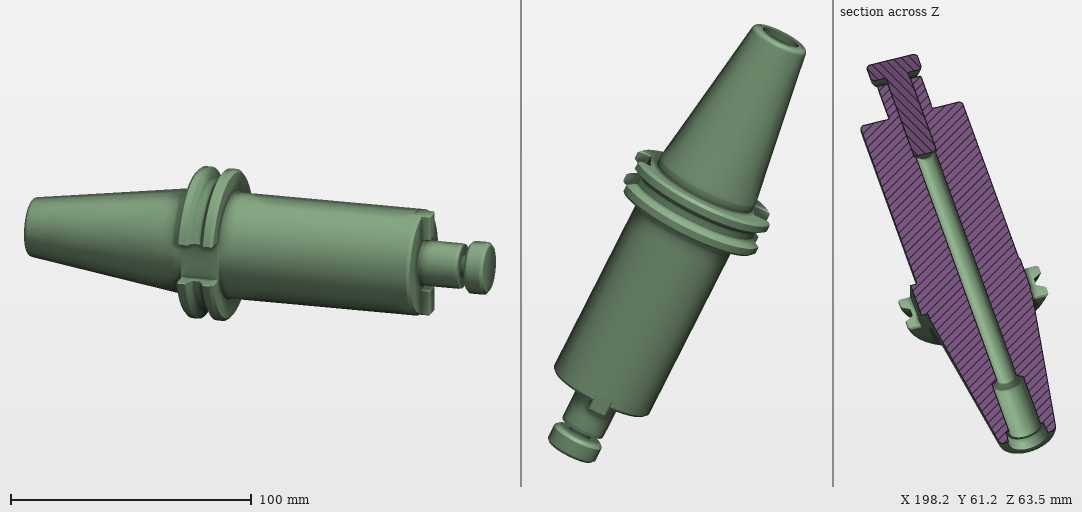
import cadquery as cq
import math

TOTAL_LENGTH = 198.2

TAPER_DIAMETER = 44.5
TAPER_LENGTH = 68.2
TAPER_RATE = 7 / 24
SMALL_DIAMETER = TAPER_DIAMETER - TAPER_RATE * TAPER_LENGTH
END_ROUND = 2.0

FLANGE_START = 71.4
FLANGE_WIDTH = 15.9
FLANGE_END = FLANGE_START + FLANGE_WIDTH
FLANGE_DIAMETER = 63.5
FLANGE_CHAMFER = 1.2
GROOVE_CENTER = 79.3
GROOVE_DIAMETER = 56.0
GROOVE_FLOOR_WIDTH = 3.4
GROOVE_FILLET = 0.4
GROOVE_FLANK_ANGLE = math.radians(30)
SLOT_WIDTH = 16.3
SLOT_CHAMFER = 0.5
SLOT_FLOOR_FRONT = 22.6
SLOT_FLOOR_BACK = 25.0

BARREL_DIAMETER = 44.5
BARREL_END = 169.9
BARREL_CHAMFER = 1.2
BARREL_ROOT_FILLET = 0.5
PILOT_DIAMETER = 19.0
PILOT_END = 187.0
PILOT_LEAD_LENGTH = 1.4
PILOT_LEAD_DIAMETER = 18.6
RELIEF_DIAMETER = 18.6
RELIEF_LENGTH = 2.0
RELIEF_FILLET = 0.5

MOUTH_DIAMETER = 16.9
MOUTH_DEPTH = 1.5
MOUTH_CONE_LENGTH = 1.2
COUNTERBORE_DIAMETER = 16.3
COUNTERBORE_DEPTH = 5.2
BORE_DIAMETER = 13.5
BORE_DEPTH = 29.7
PASSAGE_DIAMETER = 8.3
CONE_HALF_ANGLE = math.radians(59)

SHANK_DIAMETER = 9.5
SHANK_START = 148.7
SHANK_TIP_CHAMFER = 1.2
SHANK_ROOT_FILLET = 0.5
HEAD_DIAMETER = 22.0
HEAD_START = 190.0
HEAD_CHAMFER = 1.2

KEY_WIDTH = 7.5
KEY_START = 166.5
KEY_END = 173.7
KEY_INNER_Z = 10.7
KEY_OUTER_Z = 21.8
KEY_CHAMFER = 0.5


def turned(profile):
    """Solid of revolution about X from (x, radius) corners; the axis closes the outline."""
    first_x = profile[0][0]
    last_x = profile[-1][0]
    outline = [(first_x, 0), *profile, (last_x, 0)]
    return cq.Workplane("XY").polyline(outline).close().revolve(360, (0, 0, 0), (1, 0, 0))


def cylinder(start, end, diameter):
    return turned([(start, diameter / 2), (end, diameter / 2)])


def make_taper():
    taper = turned(
        [
            (0, SMALL_DIAMETER / 2),
            (TAPER_LENGTH, TAPER_DIAMETER / 2),
            (FLANGE_START, TAPER_DIAMETER / 2),
        ]
    )
    return taper.faces("<X").edges().fillet(END_ROUND)


def make_flange():
    flange = cylinder(FLANGE_START, FLANGE_END, FLANGE_DIAMETER)
    flange = flange.faces("<X or >X").edges().chamfer(FLANGE_CHAMFER)
    return flange.cut(make_groove())


def make_groove():
    """V-groove ring with a flat floor."""
    floor_radius = GROOVE_DIAMETER / 2
    rim_radius = FLANGE_DIAMETER / 2
    floor_half = GROOVE_FLOOR_WIDTH / 2
    rim_half = floor_half + (rim_radius - floor_radius) * math.tan(GROOVE_FLANK_ANGLE)
    outline = [
        (GROOVE_CENTER - floor_half, floor_radius),
        (GROOVE_CENTER - rim_half, rim_radius),
        (GROOVE_CENTER + rim_half, rim_radius),
        (GROOVE_CENTER + floor_half, floor_radius),
    ]
    groove = cq.Workplane("XY").polyline(outline).close().revolve(360, (0, 0, 0), (1, 0, 0))
    floor_edges = groove.edges(cq.selectors.RadiusNthSelector(0))
    return floor_edges.fillet(GROOVE_FILLET)


def make_slot(side, floor):
    """Drive slot through the flange on -Y (side -1) or +Y (side 1), with chamfered wall edges."""
    half_width = SLOT_WIDTH / 2
    wide_half = half_width + SLOT_CHAMFER
    rim = FLANGE_DIAMETER / 2
    wall_top = math.sqrt(rim**2 - half_width**2)

    clear_end = FLANGE_END + BARREL_ROOT_FILLET
    plan = [
        (FLANGE_START, wide_half),
        (FLANGE_START + SLOT_CHAMFER, half_width),
        (FLANGE_END - SLOT_CHAMFER, half_width),
        (FLANGE_END, wide_half),
        (clear_end, wide_half),
        (clear_end, -wide_half),
        (FLANGE_END, -wide_half),
        (FLANGE_END - SLOT_CHAMFER, -half_width),
        (FLANGE_START + SLOT_CHAMFER, -half_width),
        (FLANGE_START, -wide_half),
    ]
    slot = cq.Workplane("XZ", origin=(0, side * floor, 0)).polyline(plan).close()
    slot = slot.extrude(-side * (rim - floor))

    flare_start = wall_top - SLOT_CHAMFER
    flare_end_half = half_width + rim - flare_start
    flare = [
        (side * flare_start, half_width),
        (side * rim, flare_end_half),
        (side * rim, -flare_end_half),
        (side * flare_start, -half_width),
    ]
    rim_flare = cq.Workplane("YZ", origin=(FLANGE_START, 0, 0)).polyline(flare).close()
    return slot.union(rim_flare.extrude(FLANGE_WIDTH))


def make_barrel():
    barrel = cylinder(FLANGE_END, BARREL_END, BARREL_DIAMETER)
    return barrel.faces(">X").edges().chamfer(BARREL_CHAMFER)


def make_pilot():
    """Pilot with a relief at its root and a slight lead-in taper at its tip."""
    relief_end = BARREL_END + RELIEF_LENGTH
    return turned(
        [
            (BARREL_END, RELIEF_DIAMETER / 2),
            (relief_end, RELIEF_DIAMETER / 2),
            (relief_end, PILOT_DIAMETER / 2),
            (PILOT_END - PILOT_LEAD_LENGTH, PILOT_DIAMETER / 2),
            (PILOT_END, PILOT_LEAD_DIAMETER / 2),
        ]
    )


def fillet_ring(body, x, diameter, radius):
    """Fillet the circular edge of the given diameter at position x on the axis."""
    reach = diameter / 2
    margin = radius / 10
    corner_low = (x - margin, -reach - margin, -reach - margin)
    corner_high = (x + margin, reach + margin, reach + margin)
    ring = cq.selectors.BoxSelector(corner_low, corner_high, boundingbox=True)
    return body.edges(ring).fillet(radius)


def make_bore():
    """Stepped bore along the whole axis, down to the hole that holds the screw shank."""
    cone_length = (BORE_DIAMETER - PASSAGE_DIAMETER) / 2 / math.tan(CONE_HALF_ANGLE)
    return turned(
        [
            (0, MOUTH_DIAMETER / 2),
            (MOUTH_DEPTH, MOUTH_DIAMETER / 2),
            (MOUTH_DEPTH + MOUTH_CONE_LENGTH, COUNTERBORE_DIAMETER / 2),
            (COUNTERBORE_DEPTH, COUNTERBORE_DIAMETER / 2),
            (COUNTERBORE_DEPTH, BORE_DIAMETER / 2),
            (BORE_DEPTH, BORE_DIAMETER / 2),
            (BORE_DEPTH + cone_length, PASSAGE_DIAMETER / 2),
            (SHANK_START, PASSAGE_DIAMETER / 2),
            (SHANK_START, SHANK_DIAMETER / 2),
            (PILOT_END, SHANK_DIAMETER / 2),
        ]
    )


def make_screw():
    head = cylinder(HEAD_START, TOTAL_LENGTH, HEAD_DIAMETER)
    head = head.faces("<X or >X").edges().chamfer(HEAD_CHAMFER)
    shank = cylinder(SHANK_START, HEAD_START, SHANK_DIAMETER)
    shank = shank.faces("<X").edges().chamfer(SHANK_TIP_CHAMFER)
    return fillet_ring(head.union(shank), HEAD_START, SHANK_DIAMETER, SHANK_ROOT_FILLET)


def make_key(side):
    """Driving key at the barrel end, on +Z (side 1) or -Z (side -1)."""
    length = KEY_END - KEY_START
    height = KEY_OUTER_Z - KEY_INNER_Z
    center = (KEY_START + length / 2, 0, side * (KEY_INNER_Z + height / 2))
    key = cq.Workplane("XY").box(length, KEY_WIDTH, height)
    key = key.edges("|X or >X").chamfer(KEY_CHAMFER)
    return key.translate(center)


def make_key_pocket(side):
    """Pocket that takes the buried end of a key and is open to the barrel surface."""
    length = BARREL_END - KEY_START
    height = BARREL_DIAMETER / 2 - KEY_INNER_Z
    center = (KEY_START + length / 2, 0, side * (KEY_INNER_Z + height / 2))
    return cq.Workplane("XY").box(length, KEY_WIDTH, height).translate(center)


KEY_SIDES = (1, -1)

arbor = make_taper().union(make_flange()).union(make_barrel()).union(make_pilot())
arbor = fillet_ring(arbor, FLANGE_END, BARREL_DIAMETER, BARREL_ROOT_FILLET)
arbor = fillet_ring(arbor, BARREL_END, RELIEF_DIAMETER, RELIEF_FILLET)
arbor = arbor.cut(make_bore())
for slot_side, slot_floor in ((-1, SLOT_FLOOR_FRONT), (1, SLOT_FLOOR_BACK)):
    arbor = arbor.cut(make_slot(slot_side, slot_floor))
for key_side in KEY_SIDES:
    arbor = arbor.cut(make_key_pocket(key_side))

screw = make_screw()
keys = [make_key(key_side) for key_side in KEY_SIDES]

result = cq.Compound.makeCompound([arbor.val(), screw.val(), *[key.val() for key in keys]])